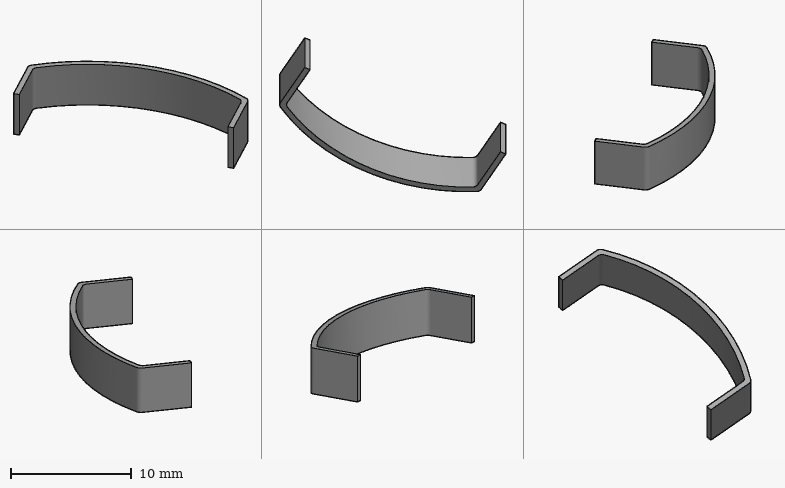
import cadquery as cq
import math

width = 19.0
depth = 7.2
height = 4.0
thickness = 0.5
leg_length = 4.5
outer_bend_radius = 0.5
inner_bend_radius = 0.5

half_width = width / 2
crown_rise = depth - leg_length
crown_radius = (half_width**2 + crown_rise**2) / (2 * crown_rise)


def arched_block(half_span, radius):
    """Solid block under the crown arc, between legs at X = +/-half_span that end at Y = 0.

    The outer and inner crown arcs share one axis in the YZ plane.
    """
    centre_y = depth - crown_radius
    shoulder_y = centre_y + math.sqrt(radius**2 - half_span**2)
    return (
        cq.Workplane("XY")
        .moveTo(-half_span, 0)
        .lineTo(-half_span, shoulder_y)
        .threePointArc((0, centre_y + radius), (half_span, shoulder_y))
        .lineTo(half_span, 0)
        .close()
        .extrude(height)
    )


def round_bends(body, radius):
    """Round the two upright edges where the crown meets the legs."""
    return body.edges("|Z").edges(">Y").fillet(radius)


outer = round_bends(arched_block(half_width, crown_radius), outer_bend_radius)
inner = round_bends(
    arched_block(half_width - thickness, crown_radius - thickness), inner_bend_radius
)

result = outer.cut(inner)